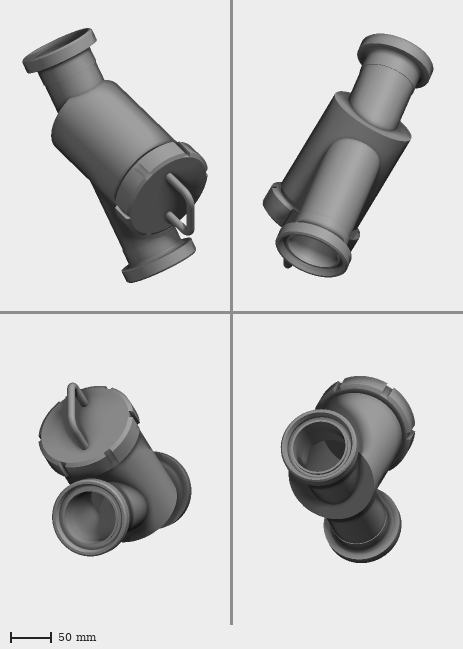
import cadquery as cq
import math


chamber_diameter = 110.0
chamber_length = 134.5
cavity_diameter = 95.5
end_wall = 3.8
collar_diameter = 104.5
collar_length = 5.5

nut_diameter = 126.8
nut_length = 29.3
nut_bevel_length = 2.8
nut_bevel_depth = 5.0
slot_count = 6
slot_width = 9.5
slot_floor_radius = 58.5

rod_diameter = 10.0
handle_half_span = 35.0
handle_reach = 45.5
handle_bend_radius = 15.0

pipe_angle = 45.0
pipe_crossing_x = 14.8
pipe_middle_z = -32.0
pipe_span = 308.3
pipe_diameter = 70.0
bore_diameter = 66.0

coupling_length = 39.3
neck_diameter = 72.0
shoulder_diameter = 81.0
shoulder_end = 22.3
flange_diameter = 96.0
flange_thickness = 16.5
flange_bevel_length = 2.2
flange_bevel_depth = 2.0
socket_mouth_diameter = 86.2
groove_diameter = 81.0
socket_depth = 6.3
lip_diameter = 71.0
groove_depth = 4.0

nut_start = chamber_length + collar_length
nut_end = nut_start + nut_length
pipe_middle_x = pipe_crossing_x - pipe_middle_z / math.tan(math.radians(pipe_angle))


def x_cylinder(diameter, start, length):
    return cq.Workplane("YZ").workplane(offset=start).circle(diameter / 2).extrude(length)


def z_cylinder(diameter):
    """Cylinder as long as the pipe, centred on the origin."""
    return cq.Workplane("XY").circle(diameter / 2).extrude(pipe_span / 2, both=True)


def make_ring_nut():
    radius = nut_diameter / 2
    bevel_radius = radius - nut_bevel_depth
    nut = (
        cq.Workplane("XY")
        .moveTo(nut_start, 0)
        .lineTo(nut_start, bevel_radius)
        .lineTo(nut_start + nut_bevel_length, radius)
        .lineTo(nut_end - nut_bevel_length, radius)
        .lineTo(nut_end, bevel_radius)
        .lineTo(nut_end, 0)
        .close()
        .revolve(360, (0, 0, 0), (1, 0, 0))
    )
    slot = cq.Workplane("XY").box(nut_length, radius, slot_width, centered=(False, False, True))
    slot = slot.translate((nut_start, slot_floor_radius, 0))
    for index in range(slot_count):
        nut = nut.cut(slot.rotate((0, 0, 0), (1, 0, 0), index * 360 / slot_count))
    return nut


def make_handle():
    bar_x = nut_end + handle_reach
    bend_x = bar_x - handle_bend_radius
    bend_z = handle_half_span - handle_bend_radius
    arc_offset = handle_bend_radius * math.sqrt(0.5)
    path = (
        cq.Workplane("XZ")
        .moveTo(nut_end, handle_half_span)
        .lineTo(bend_x, handle_half_span)
        .threePointArc((bend_x + arc_offset, bend_z + arc_offset), (bar_x, bend_z))
        .lineTo(bar_x, -bend_z)
        .threePointArc((bend_x + arc_offset, -bend_z - arc_offset), (bend_x, -handle_half_span))
        .lineTo(nut_end, -handle_half_span)
    )
    rod_section = cq.Workplane("YZ", origin=(nut_end, 0, handle_half_span)).circle(rod_diameter / 2)
    return rod_section.sweep(path)


def along_pipe(solid):
    """Move a solid built around the Z axis onto the pipe axis, its top end up and toward -X."""
    return solid.rotate((0, 0, 0), (0, 1, 0), -pipe_angle).translate((pipe_middle_x, 0, pipe_middle_z))


def both_ends(solid):
    """Join a solid at the top end of the pipe with its mirror image at the bottom end."""
    return solid.union(solid.mirror("XY"))


def make_coupling():
    """Solid coupling at the top end: flange, concave shoulder and neck."""
    face = pipe_span / 2
    neck_radius = neck_diameter / 2
    flange_radius = flange_diameter / 2
    flange_back = face - flange_thickness
    neck_top = face - shoulder_end
    return (
        cq.Workplane("XZ")
        .moveTo(0, face - coupling_length)
        .lineTo(neck_radius, face - coupling_length)
        .lineTo(neck_radius, neck_top)
        .tangentArcPoint((shoulder_diameter / 2, flange_back), relative=False)
        .lineTo(flange_radius, flange_back)
        .lineTo(flange_radius, face - flange_bevel_length)
        .lineTo(flange_radius - flange_bevel_depth, face)
        .lineTo(0, face)
        .close()
        .revolve(360, (0, 0, 0), (0, 1, 0))
    )


def make_socket():
    """Void in the top coupling face: tapered socket with a seal groove around the bore lip."""
    face = pipe_span / 2
    lip_top = face - socket_depth
    groove_floor = lip_top - groove_depth
    return (
        cq.Workplane("XZ")
        .moveTo(0, face)
        .lineTo(socket_mouth_diameter / 2, face)
        .lineTo(groove_diameter / 2, lip_top)
        .lineTo(groove_diameter / 2, groove_floor)
        .lineTo(lip_diameter / 2, groove_floor)
        .lineTo(lip_diameter / 2, lip_top)
        .lineTo(0, lip_top)
        .close()
        .revolve(360, (0, 0, 0), (0, 1, 0))
    )


chamber = x_cylinder(chamber_diameter, 0, chamber_length)
collar = x_cylinder(collar_diameter, chamber_length, collar_length)
cavity = x_cylinder(cavity_diameter, end_wall, chamber_length - end_wall)

pipe = along_pipe(z_cylinder(pipe_diameter).union(both_ends(make_coupling())))
passage = along_pipe(z_cylinder(bore_diameter).union(both_ends(make_socket())))

result = chamber.union(collar).union(pipe).cut(cavity).cut(passage)
result = result.union(make_ring_nut()).union(make_handle())